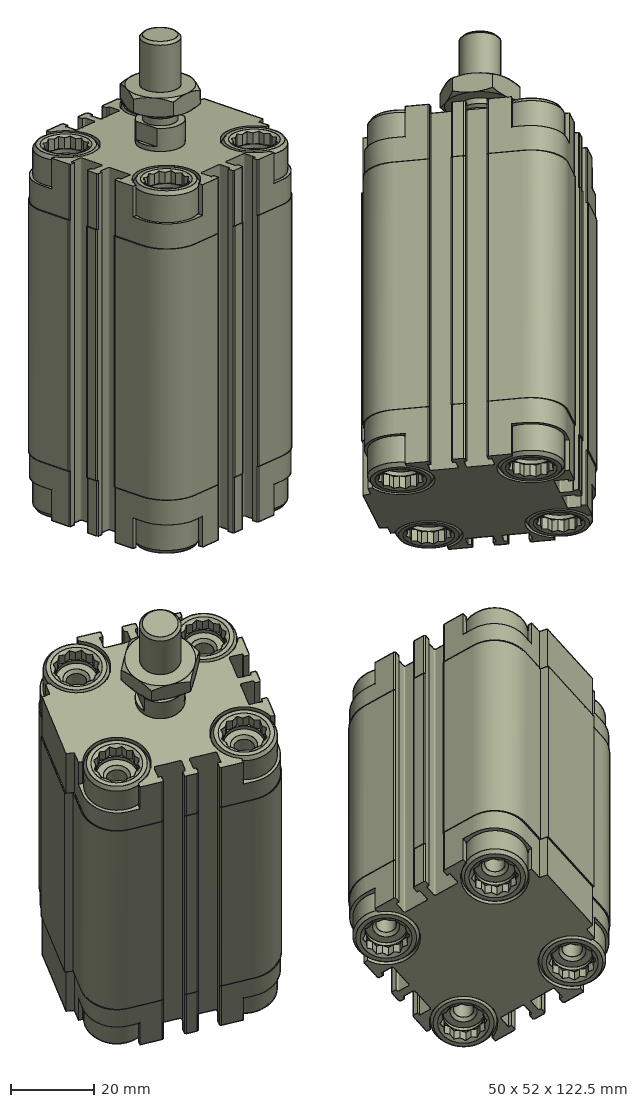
import cadquery as cq
import math

BARREL_WIDTH = 50.0
HOUSING_LENGTH = 94.5
CAP_LENGTH = 14.5
CAP_INSET_X = 0.1
CAP_INSET_Y = 0.3
SCREW_OFFSET = 16.0
PLATEAU_HEIGHT = 2.0
PLATEAU_TOP_WIDTH = 18.8
PLATEAU_BASE_WIDTH = 19.6

SLOT_DEPTH = 5.2
LIP_THICKNESS = 1.8
MOUTH_INNER = 1.75
MOUTH_OUTER = 7.05
CHAMBER_INNER = 1.0
CHAMBER_OUTER = 7.9
SLOT_CORNER_RADIUS = 0.4
MOUTH_BEVEL_WIDTH = 0.4
MOUTH_BEVEL_DEPTH = 0.2

HEAD_RADIUS = 8.0
HEAD_HEIGHT = 8.0
HEAD_HOLE_RADIUS = 8.2
HEAD_CHAMFER_WIDTH = 0.7
HEAD_CHAMFER_HEIGHT = 1.0
RELIEF_START = 13.0
SOCKET_MOUTH_RADIUS = 6.2
SOCKET_MOUTH_DEPTH = 0.5
SOCKET_RADIUS = 10.1 / 2
SOCKET_DEPTH = 4.5
SPLINE_DEPTH = 3.4
SPLINE_POINTS = 12
BORE_RADIUS = 4.92 / 2
BORE_MOUTH_RADIUS = 6.5 / 2

ROD_LENGTH = 28.0
COLLAR_DIAMETER = 12.0
COLLAR_HEIGHT = 6.0
WRENCH_FLATS = 10.0
FLATS_START = 1.25
NECK_DIAMETER = 8.57
NECK_HEIGHT = 1.8
THREAD_DIAMETER = 10.0

NUT_WIDTH = 17.0
NUT_HEIGHT = 5.0
NUT_START = 10.0
NUT_CHAMFER_ANGLE = 30.0
NUT_TURN = 30.0


def profile(inset_x, inset_y, start, length):
    """Rounded square with T-slots on three sides and the plateau on +Y, pulled in by the insets."""
    half_x = BARREL_WIDTH / 2 - inset_x
    half_y = BARREL_WIDTH / 2 - inset_y
    corner_radius = (half_x + half_y) / 2 - SCREW_OFFSET
    body = (
        cq.Workplane("XY")
        .rect(2 * half_x, 2 * half_y)
        .extrude(length)
        .edges("|Z")
        .fillet(corner_radius)
    )
    plateau = (
        cq.Workplane("XY")
        .moveTo(-PLATEAU_BASE_WIDTH / 2, 0)
        .lineTo(PLATEAU_BASE_WIDTH / 2, 0)
        .lineTo(PLATEAU_BASE_WIDTH / 2, half_y)
        .lineTo(PLATEAU_TOP_WIDTH / 2, half_y + PLATEAU_HEIGHT)
        .lineTo(-PLATEAU_TOP_WIDTH / 2, half_y + PLATEAU_HEIGHT)
        .lineTo(-PLATEAU_BASE_WIDTH / 2, half_y)
        .close()
        .extrude(length)
    )
    body = body.union(plateau)
    for angle, half in ((0, half_y), (90, half_x), (-90, half_x)):
        body = body.cut(slot_pair(half, length).rotate((0, 0, 0), (0, 0, 1), angle))
    return body.translate((0, 0, start))


def slot_pair(half_width, length):
    """Two T-slots with bevelled mouths on the -Y side, mirrored about the web between them."""
    face = -half_width
    floor = SLOT_DEPTH - BARREL_WIDTH / 2
    lip = LIP_THICKNESS - BARREL_WIDTH / 2
    chamber = (
        cq.Workplane("XY")
        .moveTo(CHAMBER_INNER, floor)
        .lineTo(CHAMBER_OUTER, floor)
        .lineTo(CHAMBER_OUTER, lip)
        .lineTo(CHAMBER_INNER, lip)
        .close()
        .extrude(length)
        .edges("|Z and (>Y or <X)")
        .fillet(SLOT_CORNER_RADIUS)
    )
    mouth = (
        cq.Workplane("XY")
        .moveTo(MOUTH_INNER, lip)
        .lineTo(MOUTH_OUTER, lip)
        .lineTo(MOUTH_OUTER, face + MOUTH_BEVEL_DEPTH)
        .lineTo(MOUTH_OUTER + MOUTH_BEVEL_WIDTH, face)
        .lineTo(MOUTH_INNER - MOUTH_BEVEL_WIDTH, face)
        .lineTo(MOUTH_INNER, face + MOUTH_BEVEL_DEPTH)
        .close()
        .extrude(length)
    )
    slot = chamber.union(mouth)
    return slot.union(slot.mirror("YZ"))


def corner_relief(top):
    """Material removed around the +X +Y screw head at the upper end."""
    reach = BARREL_WIDTH
    floor = top - HEAD_HEIGHT
    head = (
        cq.Workplane("XY", origin=(SCREW_OFFSET, SCREW_OFFSET, floor))
        .circle(HEAD_RADIUS)
        .extrude(HEAD_HEIGHT)
    )
    corner = (
        cq.Workplane("XY", origin=(RELIEF_START, RELIEF_START, floor))
        .rect(reach, reach, centered=False)
        .extrude(HEAD_HEIGHT)
    )
    hole = (
        cq.Workplane("XY", origin=(SCREW_OFFSET, SCREW_OFFSET, floor))
        .circle(HEAD_HOLE_RADIUS)
        .extrude(HEAD_HEIGHT)
    )
    chamfer = (
        cq.Workplane("XZ")
        .moveTo(HEAD_RADIUS, -HEAD_CHAMFER_HEIGHT)
        .lineTo(HEAD_RADIUS, 0)
        .lineTo(HEAD_RADIUS - HEAD_CHAMFER_WIDTH, 0)
        .close()
        .revolve(360, (0, 0, 0), (0, 1, 0))
        .translate((SCREW_OFFSET, SCREW_OFFSET, top))
    )
    return corner.union(hole).cut(head).union(chamfer)


def screw_socket(top):
    """Twelve-point socket and tapped bore, down to half the housing length."""
    opening = (
        cq.Workplane("XZ")
        .moveTo(0, 0)
        .lineTo(SOCKET_MOUTH_RADIUS, 0)
        .lineTo(SOCKET_RADIUS, -SOCKET_MOUTH_DEPTH)
        .lineTo(SOCKET_RADIUS, -SOCKET_DEPTH)
        .lineTo(BORE_MOUTH_RADIUS, -SOCKET_DEPTH)
        .lineTo(BORE_RADIUS, -SOCKET_DEPTH - (BORE_MOUTH_RADIUS - BORE_RADIUS))
        .lineTo(BORE_RADIUS, -HOUSING_LENGTH / 2)
        .lineTo(0, -HOUSING_LENGTH / 2)
        .close()
        .revolve(360, (0, 0, 0), (0, 1, 0))
    )
    point_radius = SOCKET_RADIUS * math.cos(math.pi / SPLINE_POINTS) / math.cos(math.pi / 6)
    hexagon = cq.Workplane("XY").polygon(6, 2 * point_radius).extrude(-SPLINE_DEPTH)
    turned = hexagon.rotate((0, 0, 0), (0, 0, 1), 360 / SPLINE_POINTS)
    socket = opening.union(hexagon).union(turned)
    return socket.translate((SCREW_OFFSET, SCREW_OFFSET, top))


def make_housing():
    barrel_length = HOUSING_LENGTH - 2 * CAP_LENGTH
    body = profile(0, 0, CAP_LENGTH, barrel_length)
    for cap_start in (0, HOUSING_LENGTH - CAP_LENGTH):
        body = body.union(profile(CAP_INSET_X, CAP_INSET_Y, cap_start, CAP_LENGTH))

    upper = corner_relief(HOUSING_LENGTH).union(screw_socket(HOUSING_LENGTH))
    lower = upper.mirror("XY", (0, 0, HOUSING_LENGTH / 2))
    for angle in range(0, 360, 90):
        for cutter in (upper, lower):
            body = body.cut(cutter.rotate((0, 0, 0), (0, 0, 1), angle))
    return body


def make_rod():
    """Rod standing on the upper face of the housing."""
    collar = COLLAR_DIAMETER / 2
    neck = NECK_DIAMETER / 2
    thread = THREAD_DIAMETER / 2
    thread_chamfer = thread - neck
    neck_top = COLLAR_HEIGHT + NECK_HEIGHT
    rod = (
        cq.Workplane("XZ")
        .moveTo(0, 0)
        .lineTo(collar, 0)
        .lineTo(collar, COLLAR_HEIGHT)
        .lineTo(neck, COLLAR_HEIGHT)
        .lineTo(neck, neck_top)
        .lineTo(thread, neck_top + thread_chamfer)
        .lineTo(thread, ROD_LENGTH - thread_chamfer)
        .lineTo(neck, ROD_LENGTH)
        .lineTo(0, ROD_LENGTH)
        .close()
        .revolve(360, (0, 0, 0), (0, 1, 0))
    )
    for side in (-1, 1):
        flat = cq.Workplane("XY").box(
            COLLAR_DIAMETER, COLLAR_DIAMETER, COLLAR_HEIGHT - FLATS_START, centered=(True, True, False)
        )
        flat_centre = side * (WRENCH_FLATS + COLLAR_DIAMETER) / 2
        rod = rod.cut(flat.translate((0, flat_centre, FLATS_START)))
    return rod.translate((0, 0, HOUSING_LENGTH))


def make_nut():
    """Hexagon nut with flats facing +X and -X, chamfered at both ends."""
    corner_radius = NUT_WIDTH / 2 / math.cos(math.pi / 6)
    chamfer = (corner_radius - NUT_WIDTH / 2) * math.tan(math.radians(NUT_CHAMFER_ANGLE))
    envelope = (
        cq.Workplane("XY")
        .circle(corner_radius)
        .extrude(NUT_HEIGHT)
        .faces("<Z or >Z")
        .chamfer(chamfer, corner_radius - NUT_WIDTH / 2)
    )
    nut = (
        cq.Workplane("XY")
        .polygon(6, 2 * corner_radius)
        .extrude(NUT_HEIGHT)
        .rotate((0, 0, 0), (0, 0, 1), NUT_TURN)
        .intersect(envelope)
        .cut(cq.Workplane("XY").circle(THREAD_DIAMETER / 2).extrude(NUT_HEIGHT))
    )
    return nut.translate((0, 0, HOUSING_LENGTH + NUT_START))


housing = make_housing()
rod = make_rod()
nut = make_nut()

result = cq.Compound.makeCompound([housing.val(), rod.val(), nut.val()])